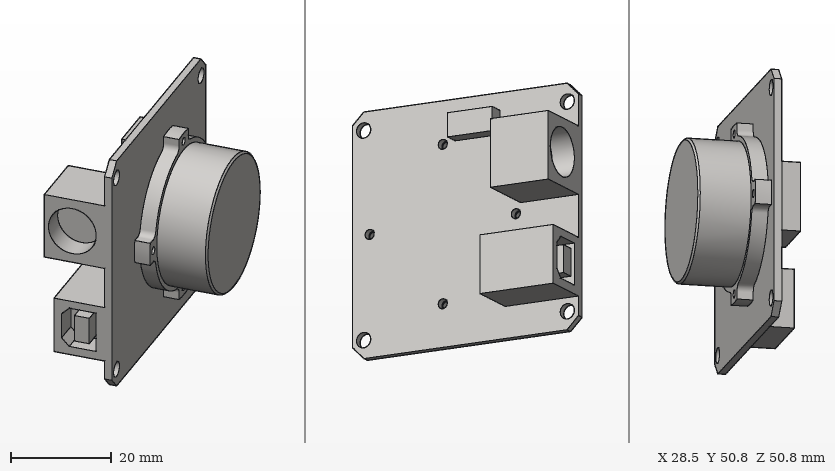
import cadquery as cq

board_size = 50.8
board_thickness = 1.6
board_corner_cut = 2.6
mount_hole_diameter = 3.15
mount_hole_y = 22.85
mount_hole_z = 21.6

housing_y = 5.1
flange_thickness = 3.3
flange_radius = 15.55
lug_tip_radius = 18.25
lug_width = 5.0
lug_fillet = 1.45
barrel_radius = 14.55
barrel_length = 10.75
barrel_chamfer = 0.4

lug_count = 4
screw_circle_radius = 16.4
screw_clearance_diameter = 2.05
screw_hole_diameter = 1.6

jack_height = 12.85
jack_length = 13.0
jack_width = 14.1
jack_z = 9.2
bore_diameter = 10.15
bore_x = -6.85
bore_depth = 5.0

usb_height = 10.75
usb_length = 16.45
usb_width = 12.1
usb_z = -12.75
usb_opening_height = 7.35
usb_opening_width = 8.65
usb_opening_corner_cut = 1.65
usb_opening_gap = 1.8
usb_opening_z = -12.65
usb_opening_depth = 5.0
tongue_height = 3.15
tongue_width = 5.75
tongue_gap = 3.25

header_height = 3.3
header_length = 10.05
header_width = 5.0
header_y = -2.75
header_z = 19.25

board_edge_y = -board_size / 2
flange_top_x = board_thickness + flange_thickness


def back_block(height, length, width, y_min, z_center):
    """Box standing on the back face of the board and reaching out in -X."""
    corner = (-height, y_min, z_center - width / 2)
    return cq.Workplane("XY").box(height, length, width, centered=False).translate(corner)


def housing_plane(x):
    """YZ plane at the given X, with its origin on the housing axis."""
    return cq.Workplane("YZ", origin=(x, housing_y, 0))


def make_board():
    return (
        cq.Workplane("YZ")
        .rect(board_size, board_size)
        .extrude(board_thickness)
        .edges("|X")
        .chamfer(board_corner_cut)
        .faces(">X")
        .workplane()
        .rect(2 * mount_hole_y, 2 * mount_hole_z, forConstruction=True)
        .vertices()
        .hole(mount_hole_diameter)
    )


def make_flange():
    """Disc with four lugs, filleted at their roots, whose tips follow a larger circle."""
    disc = housing_plane(board_thickness).circle(flange_radius).extrude(flange_thickness)
    tip_disc = housing_plane(board_thickness).circle(lug_tip_radius).extrude(flange_thickness)
    bar_length = 2 * lug_tip_radius
    bar = housing_plane(board_thickness).rect(bar_length, lug_width).extrude(flange_thickness)
    cross_bar = housing_plane(board_thickness).rect(lug_width, bar_length).extrude(flange_thickness)
    lugs = bar.union(cross_bar).intersect(tip_disc)

    selection_reach = (flange_radius + lug_tip_radius) / 2
    corners = cq.selectors.BoxSelector(
        (0, housing_y - selection_reach, -selection_reach),
        (flange_top_x, housing_y + selection_reach, selection_reach),
    )
    return disc.union(lugs).edges("|X").edges(corners).fillet(lug_fillet)


def make_barrel():
    return (
        housing_plane(flange_top_x)
        .circle(barrel_radius)
        .extrude(barrel_length)
        .faces(">X")
        .edges()
        .chamfer(barrel_chamfer)
    )


def screw_holes(diameter, x, depth):
    return (
        housing_plane(x)
        .polarArray(screw_circle_radius, 0, 360, lug_count)
        .circle(diameter / 2)
        .extrude(depth)
    )


def make_jack():
    block = back_block(jack_height, jack_length, jack_width, board_edge_y, jack_z)
    bore = (
        cq.Workplane("XZ", origin=(bore_x, board_edge_y, jack_z))
        .circle(bore_diameter / 2)
        .extrude(-bore_depth)
    )
    return block.cut(bore)


def make_usb_socket():
    """Socket with a D-shaped opening around a tongue that ends flush with the mouth."""
    block = back_block(usb_height, usb_length, usb_width, board_edge_y, usb_z)
    opening = (
        back_block(usb_opening_height, usb_opening_depth, usb_opening_width, board_edge_y, usb_opening_z)
        .edges("|Y and <X")
        .chamfer(usb_opening_corner_cut)
        .translate((-usb_opening_gap, 0, 0))
    )
    tongue = back_block(tongue_height, usb_opening_depth, tongue_width, board_edge_y, usb_opening_z)
    tongue = tongue.translate((-tongue_gap, 0, 0))
    return block.cut(opening.cut(tongue))


def make_header():
    header_y_min = header_y - header_length / 2
    return back_block(header_height, header_length, header_width, header_y_min, header_z)


board = make_board().cut(screw_holes(screw_clearance_diameter, 0, board_thickness))
flange = make_flange().cut(screw_holes(screw_hole_diameter, board_thickness, flange_thickness))

result = (
    board.union(flange)
    .union(make_barrel())
    .union(make_jack())
    .union(make_usb_socket())
    .union(make_header())
)